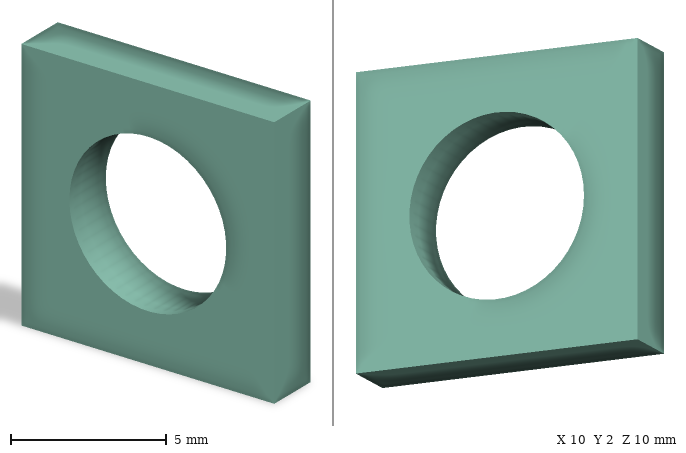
import cadquery as cq

side = 10.0
thickness = 2.0
hole_diameter = 6.2

plate = cq.Workplane("XY").box(side, thickness, side)

result = plate.faces("<Y").workplane().hole(hole_diameter)